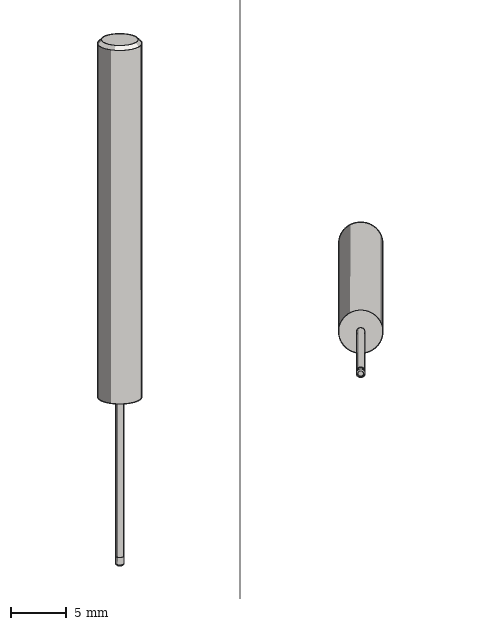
import cadquery as cq

total_length = 50.0
shank_diameter = 4.0
shank_length = 34.0
shank_chamfer = 0.35
neck_diameter = 0.75
tip_diameter = 0.8
tip_length = 0.85
tip_chamfer = 0.15

neck_length = total_length - shank_length - tip_length


def rod(diameter, length, base_height):
    """Vertical cylinder starting at the given height."""
    return cq.Workplane("XY").workplane(offset=base_height).circle(diameter / 2).extrude(length)


shank = rod(shank_diameter, shank_length, total_length - shank_length)
shank = shank.faces(">Z").edges().chamfer(shank_chamfer)

neck = rod(neck_diameter, neck_length, tip_length)

tip = rod(tip_diameter, tip_length, 0).faces("<Z").edges().chamfer(tip_chamfer)

result = shank.union(neck).union(tip)